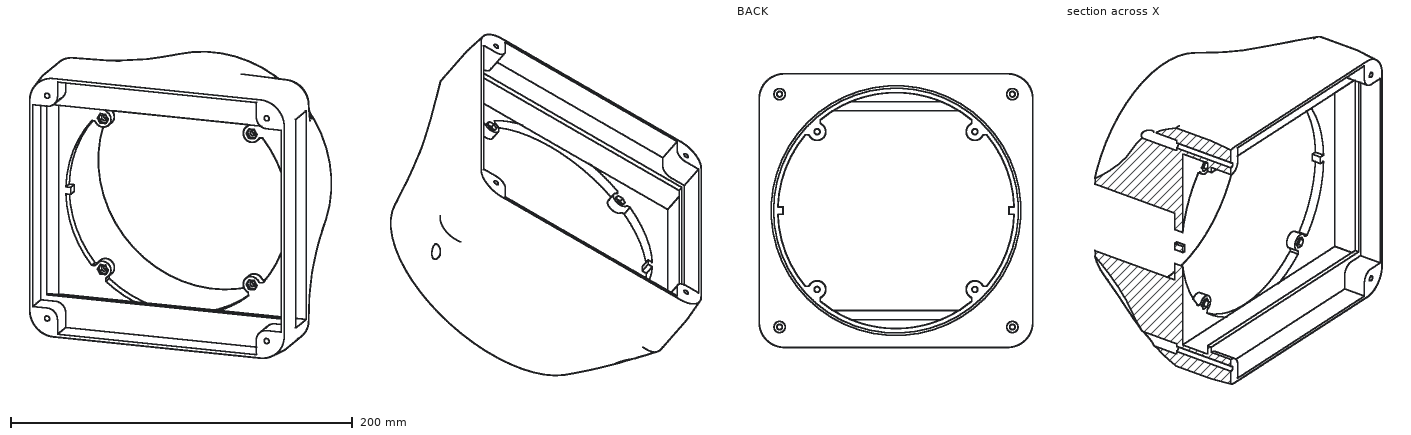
import cadquery as cq
import math


size = 160.4
length = 100.0
corner_radius = 14.9
frame_depth = 14.9
straight_depth = 25.0
front_inset = 1.1
outlet_diameter = 146.3
shoulder_y = frame_depth + straight_depth

recess_half = 77.2
recess_depth = 14.5
block_inner_edge = 61.8
screw_spacing = 136.3
screw_hole_diameter = 3.0
screw_head_diameter = 6.5

window_height = 116.8
slot_height = 127.7
slot_left = -73.5
window_right = 75.4
lip_depth = 2.7
slot_depth = 18.3
slot_y = recess_depth + lip_depth
plate_y = slot_y + slot_depth

duct_diameter = 143.4
opening_diameter = 138.3
plate_thickness = 6.0
duct_y = plate_y + plate_thickness

boss_spacing = 92.4
boss_diameter = 10.3
boss_hole_diameter = 3.2
nut_corner_diameter = 6.5
nut_depth = 2.4
web_offset = 2.0
web_fillet = 1.0
tab_width = 4.3
tab_tip = 66.1


def section(y):
    """Workplane at depth y: local axes are X and Z, a negative extrusion goes toward +Y."""
    return cq.Workplane("XZ", origin=(0, y, 0))


def box(x_range, y_range, z_range):
    spans = [x_range, y_range, z_range]
    lengths = [high - low for low, high in spans]
    corner = cq.Vector(*[low for low, high in spans])
    return cq.Workplane("XY").box(*lengths, centered=False).translate(corner)


def cylinder(y_start, y_end, diameter, points=((0, 0),)):
    return section(y_start).pushPoints(points).circle(diameter / 2).extrude(y_start - y_end)


def grid(spacing):
    half = spacing / 2
    return [(x, z) for x in (-half, half) for z in (-half, half)]


def square(y, half):
    return section(y).rect(2 * half, 2 * half).wire().val()


def outlet_circle(y):
    """Circle of four arcs that meet on the diagonals, to pair with the sides of a square."""
    radius = outlet_diameter / 2
    corner = radius * math.sqrt(0.5)
    return (
        section(y)
        .moveTo(-corner, -corner)
        .threePointArc((0, -radius), (corner, -corner))
        .threePointArc((radius, 0), (corner, corner))
        .threePointArc((0, radius), (-corner, corner))
        .threePointArc((-radius, 0), (-corner, -corner))
        .wire()
        .val()
    )


def loft(first, second):
    return cq.Workplane(cq.Solid.makeLoft([first, second], True))


def round_corners(body):
    return body.edges("not (|X or |Z or >Y)").fillet(corner_radius)


def outer_body():
    """Square frame and square-to-round duct, each with rounded corner edges, mitred at the shoulder."""
    half = size / 2
    frame = loft(square(0, half - front_inset), square(frame_depth, half))
    frame = round_corners(frame.union(box((-half, half), (frame_depth, length), (-half, half))))
    duct = round_corners(loft(square(shoulder_y, half), outlet_circle(length)))
    duct = duct.union(box((-half, half), (0, shoulder_y), (-half, half)))
    return frame.intersect(duct)


def front_recess():
    """Square recess that leaves a block with one rounded edge in each corner."""
    recess = section(0).rect(2 * recess_half, 2 * recess_half).extrude(-recess_depth)
    block_size = 2 * (recess_half - block_inner_edge)
    corners = grid(2 * recess_half)
    blocks = section(0).pushPoints(corners).rect(block_size, block_size).extrude(-recess_depth)
    blocks = blocks.edges("|Y").fillet(screw_spacing / 2 - block_inner_edge)
    return recess.cut(blocks)


def drawer_slot():
    def centered(height):
        return (-height / 2, height / 2)

    window = box((slot_left, window_right), (recess_depth, slot_y), centered(window_height))
    slot = box((slot_left, size), (slot_y, plate_y), centered(slot_height))
    return window.union(slot)


def corner_mount():
    """Boss in the +X +Z corner, with a web that runs out into the plate."""
    center = boss_spacing / 2
    reach = boss_diameter / 2
    web_span = (center - web_offset, size / 2)
    web = box(web_span, (plate_y, duct_y), web_span)
    mount = cylinder(plate_y, duct_y, boss_diameter, [(center, center)]).union(web)
    around_boss = cq.selectors.BoxSelector(
        (center - reach, plate_y, center - reach),
        (center + reach, duct_y, center + reach),
    )
    return mount.edges("|Y").edges(around_boss).fillet(web_fillet)


def plate_opening():
    """Opening in the plate, narrowed by four filleted bosses and two tabs."""
    opening = cylinder(plate_y, duct_y, opening_diameter)
    tab = box((tab_tip, size / 2), (plate_y, duct_y), (-tab_width / 2, tab_width / 2))
    mount = corner_mount()
    right_side = tab.union(mount).union(mount.mirror("XY"))
    return opening.cut(right_side).cut(right_side.mirror("YZ"))


def boss_holes():
    holes = cylinder(plate_y, duct_y, boss_hole_diameter, grid(boss_spacing))
    nuts = section(plate_y).pushPoints(grid(boss_spacing)).polygon(6, nut_corner_diameter).extrude(-nut_depth)
    return holes.union(nuts)


def screw_holes():
    """Corner screw holes, widened for the screw heads behind the shoulder."""
    points = grid(screw_spacing)
    holes = cylinder(0, length, screw_hole_diameter, points)
    return holes.union(cylinder(shoulder_y, length, screw_head_diameter, points))


result = (
    outer_body()
    .cut(front_recess())
    .cut(drawer_slot())
    .cut(plate_opening())
    .cut(cylinder(duct_y, length, duct_diameter))
    .cut(boss_holes())
    .cut(screw_holes())
)